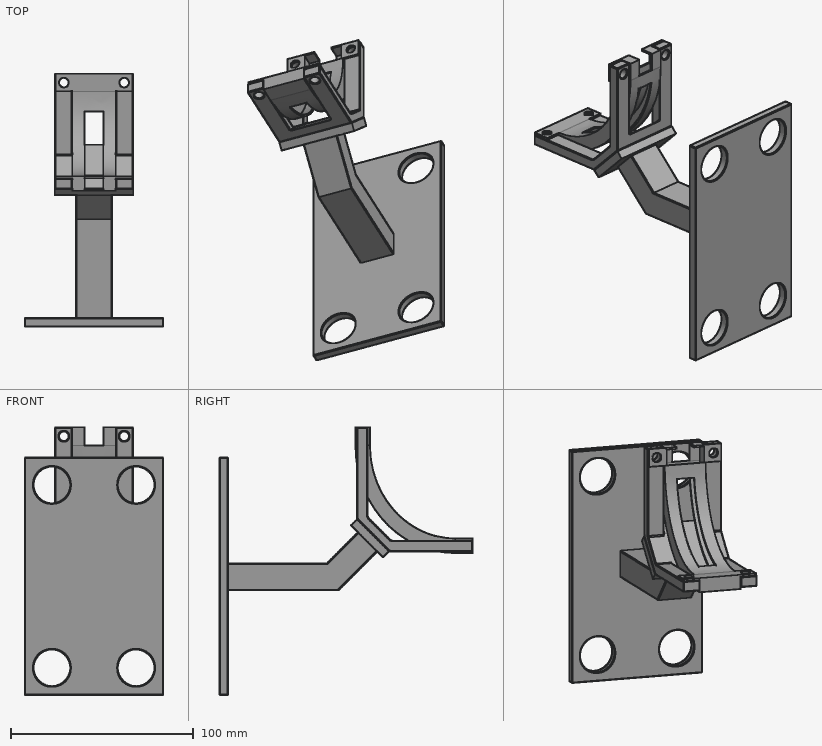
import cadquery as cq
import math

plate_width = 76.0
plate_height = 130.0
plate_thickness = 5.0
plate_hole_diameter = 20.0
plate_hole_spacing_x = 46.0
plate_hole_spacing_z = 100.0

tip_y = 138.5
tip_z = 146.6

frame_width = 43.0
frame_thickness = 6.0
frame_outer_y = 75.2
frame_outer_z = 78.6
web_cut_outer = 17.7
web_thickness = 5.0
window_width = 23.8

wall = 1.0
inner_overlap = 1.2
outer_overlap = 0.9
cap_length_y = 9.7
cap_length_z = 10.0
slot_width = 10.1
crosspiece_length_y = 11.1
crosspiece_length_z = 7.9
screw_hole_diameter = 5.1
screw_hole_spacing = 33.0
screw_hole_inset = 5.0

pad_length = 24.8
pad_thickness = 4.7

arm_width = 20.0
arm_depth = 15.0
arm_top_z = 72.3
arm_bend_y = 59.0

edge_chamfer = 0.5

diagonal = math.sqrt(2)

frame_inner_y = frame_outer_y + frame_thickness
frame_inner_z = frame_outer_z + frame_thickness
flange_width = frame_width - 2 * edge_chamfer
web_outer_sum = frame_outer_y + frame_outer_z + web_cut_outer
web_inner_sum = web_outer_sum + web_thickness * diagonal

cradle_inner_y = frame_inner_y + inner_overlap
cradle_inner_z = frame_inner_z + inner_overlap
cradle_outer_y = frame_outer_y - outer_overlap
cradle_outer_z = frame_outer_z - outer_overlap
curve_center_y = tip_y - cap_length_y
curve_center_z = tip_z - cap_length_z


def centered_extrusion(sketch, width):
    """Extrude a closed YZ outline so that the solid is centred on X = 0."""
    return sketch.extrude(width).translate((-width / 2, 0, 0))


def block(width, y_min, y_max, z_min, z_max):
    """Box centred on X = 0 with the given limits in Y and Z."""
    center = (0, (y_min + y_max) / 2, (z_min + z_max) / 2)
    return cq.Workplane("XY").box(width, y_max - y_min, z_max - z_min).translate(center)


def make_plate():
    plate = block(plate_width, 0, plate_thickness, 0, plate_height)
    return (
        plate.faces("<Y")
        .workplane(centerOption="CenterOfBoundBox")
        .rarray(plate_hole_spacing_x, plate_hole_spacing_z, 2, 2)
        .hole(plate_hole_diameter)
        .edges()
        .chamfer(edge_chamfer)
    )


def make_arm():
    arm_bottom_z = arm_top_z - arm_depth
    bend_shift = arm_depth * math.tan(math.radians(22.5))
    pad_back_sum = web_outer_sum - pad_thickness * diagonal
    top_rise = (pad_back_sum - arm_bend_y - arm_top_z) / 2
    bottom_bend_y = arm_bend_y + bend_shift
    bottom_rise = (pad_back_sum - bottom_bend_y - arm_bottom_z) / 2
    outline = (
        cq.Workplane("YZ")
        .moveTo(plate_thickness, arm_top_z)
        .lineTo(arm_bend_y, arm_top_z)
        .line(top_rise, top_rise)
        .lineTo(bottom_bend_y + bottom_rise, arm_bottom_z + bottom_rise)
        .lineTo(bottom_bend_y, arm_bottom_z)
        .lineTo(plate_thickness, arm_bottom_z)
        .close()
    )
    arm = centered_extrusion(outline, arm_width)
    return arm.faces("<X or >X").edges("not(<Y or >(0, 1, 1))").chamfer(edge_chamfer)


def make_pad():
    web_center_y = frame_outer_y + web_cut_outer / 2
    web_center_z = frame_outer_z + web_cut_outer / 2
    pad = cq.Workplane("XY").box(frame_width, pad_length, pad_thickness, centered=(True, True, False))
    return (
        pad.rotate((0, 0, 0), (1, 0, 0), 135)
        .translate((0, web_center_y, web_center_z))
    )


def make_frame():
    outline = (
        cq.Workplane("YZ")
        .moveTo(frame_outer_y, tip_z)
        .lineTo(frame_outer_y, web_outer_sum - frame_outer_y)
        .lineTo(web_outer_sum - frame_outer_z, frame_outer_z)
        .lineTo(tip_y, frame_outer_z)
        .lineTo(tip_y, frame_inner_z)
        .lineTo(web_inner_sum - frame_inner_z, frame_inner_z)
        .lineTo(frame_inner_y, web_inner_sum - frame_inner_y)
        .lineTo(frame_inner_y, tip_z)
        .close()
    )
    window = (
        cq.Workplane("YZ")
        .moveTo(frame_outer_y, web_inner_sum - frame_outer_y)
        .lineTo(web_inner_sum - frame_outer_z, frame_outer_z)
        .lineTo(tip_y, frame_outer_z)
        .lineTo(tip_y, tip_z)
        .lineTo(frame_outer_y, tip_z)
        .close()
    )
    frame = centered_extrusion(outline, frame_width).cut(centered_extrusion(window, window_width))
    return frame.cut(screw_holes()).edges().chamfer(edge_chamfer)


def screw_holes():
    """Clearance cutters through both caps: along Y at the top, along Z at the far end."""
    radius = screw_hole_diameter / 2
    upper_z = tip_z - screw_hole_inset
    far_y = tip_y - screw_hole_inset
    cutters = cq.Workplane("XY")
    for x in (-screw_hole_spacing / 2, screw_hole_spacing / 2):
        along_y = cq.Solid.makeCylinder(radius, tip_y - plate_thickness, cq.Vector(x, plate_thickness, upper_z),
                                        cq.Vector(0, 1, 0))
        along_z = cq.Solid.makeCylinder(radius, tip_z, cq.Vector(x, far_y, 0), cq.Vector(0, 0, 1))
        cutters = cutters.add(along_y).add(along_z)
    return cutters.combine()


def cradle_outline(inset):
    """Side outline of the cradle, moved inwards by the inset on every side."""
    inner_radius_y = curve_center_y - cradle_inner_y + inset
    inner_radius_z = curve_center_z - cradle_inner_z + inset
    outer_radius_y = curve_center_y - cradle_outer_y - inset
    outer_radius_z = curve_center_z - cradle_outer_z - inset
    return (
        cq.Workplane("YZ")
        .moveTo(tip_y - inset, curve_center_z - inner_radius_z)
        .lineTo(curve_center_y, curve_center_z - inner_radius_z)
        .ellipseArc(inner_radius_y, inner_radius_z, 180, 270, sense=-1)
        .lineTo(curve_center_y - inner_radius_y, tip_z - inset)
        .lineTo(curve_center_y - outer_radius_y, tip_z - inset)
        .lineTo(curve_center_y - outer_radius_y, curve_center_z)
        .ellipseArc(outer_radius_y, outer_radius_z, 180, 270, sense=1)
        .lineTo(tip_y - inset, curve_center_z - outer_radius_z)
        .close()
    )


def make_cradle():
    cradle = centered_extrusion(cradle_outline(0), window_width)
    cradle = cradle.union(block(flange_width, frame_inner_y, cradle_inner_y, curve_center_z, tip_z))
    cradle = cradle.union(block(flange_width, curve_center_y, tip_y, frame_inner_z, cradle_inner_z))

    cavity_width = window_width - 2 * wall
    cradle = cradle.cut(centered_extrusion(cradle_outline(wall), cavity_width))
    cradle = cradle.cut(block(cavity_width, cradle_outer_y + wall, cradle_inner_y, curve_center_z, tip_z - wall))

    cradle = cradle.cut(block(slot_width, cradle_outer_y, cradle_inner_y, curve_center_z, tip_z))
    slot = block(
        slot_width,
        cradle_outer_y,
        curve_center_y - crosspiece_length_y,
        cradle_outer_z,
        curve_center_z - crosspiece_length_z,
    )
    return cradle.cut(slot).cut(screw_holes())


plate = make_plate()
arm = make_arm()
pad = make_pad()
frame = make_frame()
cradle = make_cradle()

result = cq.Compound.makeCompound([plate.val(), arm.val(), pad.val(), frame.val(), cradle.val()])